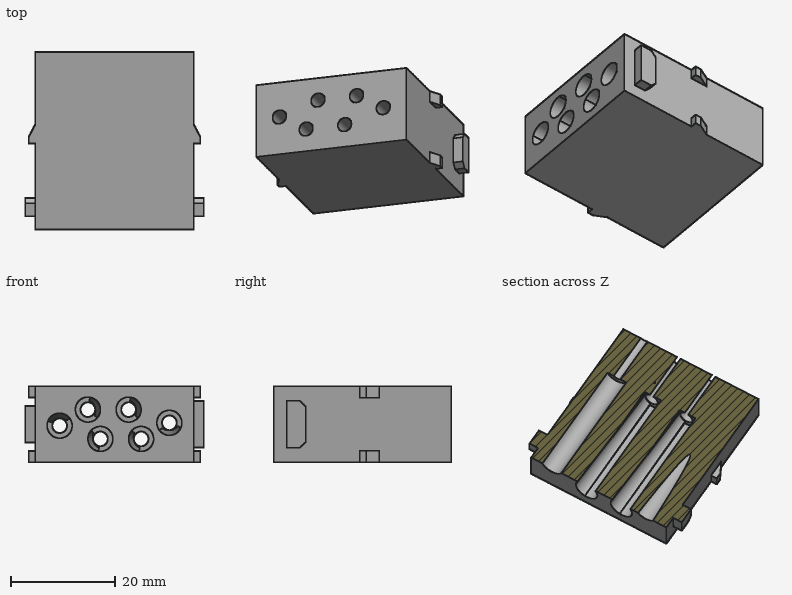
import cadquery as cq
import math

overall_width = 34.2
body_width = 30.37
body_length = 34.0
body_height = 14.6
front_y = -body_length / 2
side_x = body_width / 2

latch_reach = 1.25
latch_height = 2.2
latch_shoulder = 16.45
latch_crest_end = 17.7
latch_ramp_end = 20.18

key_reach = (overall_width - body_width) / 2
key_start = 2.53
key_length = 3.55
key_chamfer = 1.05
left_key_height = 7.0
right_key_height = 8.95

cavity_diameter = 4.8
bore_diameter = 2.77
cavity_depth = 23.95
inner_x = 2.7
middle_x = 5.1
outer_x = 10.5
row_z = 2.8
outer_z = 0.27

lip_span = 122.0
lip_floor_radius = 2.1
lip_floor_shift = 0.65

half_cavities = [
    (-outer_x, -outer_z, 97.0),
    (-middle_x, row_z, 20.0),
    (inner_x, row_z, 20.0),
]
cavities = half_cavities + [(-x, -z, angle + 180) for x, z, angle in half_cavities]


def latch(side, level):
    """Ramped latch on one side (+1/-1 in X), flush with the top or bottom (+1/-1)."""
    outline = [
        (0, front_y + latch_shoulder),
        (side * (side_x + latch_reach), front_y + latch_shoulder),
        (side * (side_x + latch_reach), front_y + latch_crest_end),
        (side * side_x, front_y + latch_ramp_end),
        (0, front_y + latch_ramp_end),
    ]
    center_z = level * (body_height - latch_height) / 2
    return (
        cq.Workplane("XY")
        .workplane(offset=center_z - latch_height / 2)
        .polyline(outline)
        .close()
        .extrude(latch_height)
    )


def key(side, height):
    """Coding key on one side (+1/-1 in X), centred in height."""
    return (
        cq.Workplane("XY")
        .box(key_reach, key_length, height)
        .edges("|X and >Y")
        .chamfer(key_chamfer)
        .translate((side * (side_x + key_reach / 2), front_y + key_start + key_length / 2, 0))
    )


def cavity_cutter():
    """Counterbored through hole on +Z, mouth at Z = 0, with its lip centred on +X."""
    radius = cavity_diameter / 2
    counterbore = cq.Workplane("XY").circle(radius).extrude(-cavity_depth)
    bore = cq.Workplane("XY").circle(bore_diameter / 2).extrude(-body_length)
    tapered_core = (
        cq.Workplane("XY")
        .circle(radius)
        .workplane(offset=-cavity_depth)
        .center(lip_floor_shift, 0)
        .circle(lip_floor_radius)
        .loft()
        .rotate((0, 0, 0), (0, 0, 1), 180)
    )
    half_span = math.radians(lip_span / 2)
    sector_reach = 2 * radius
    edge_x = sector_reach * math.cos(half_span)
    edge_y = sector_reach * math.sin(half_span)
    sector = (
        cq.Workplane("XY")
        .moveTo(0, 0)
        .lineTo(edge_x, -edge_y)
        .threePointArc((sector_reach, 0), (edge_x, edge_y))
        .close()
        .extrude(-cavity_depth)
    )
    return counterbore.cut(sector).union(tapered_core.intersect(sector)).union(bore)


result = cq.Workplane("XY").box(body_width, body_length, body_height)

for side, key_height in ((-1, left_key_height), (1, right_key_height)):
    result = result.union(key(side, key_height))
    for level in (-1, 1):
        result = result.union(latch(side, level))

cutter = cavity_cutter()
for x, z, lip_angle in cavities:
    placed_cutter = (
        cutter
        .rotate((0, 0, 0), (0, 0, 1), lip_angle)
        .rotate((0, 0, 0), (1, 0, 0), 90)
        .translate((x, front_y, z))
    )
    result = result.cut(placed_cutter)